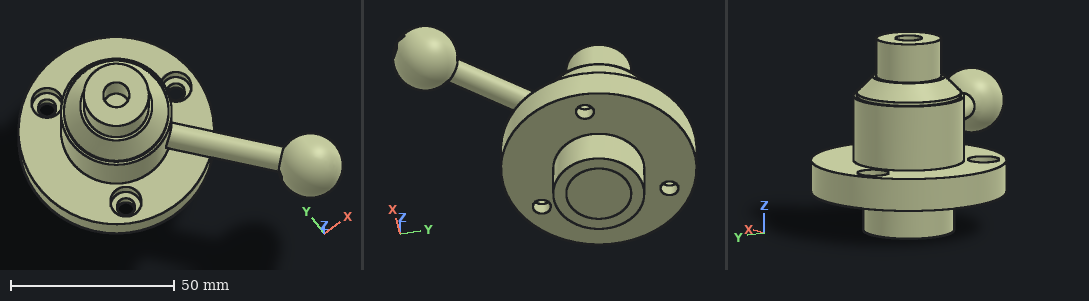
import cadquery as cq
import math

overall_depth = 86.7
overall_height = 60.0

spigot_radius = 14.0
spigot_height = 12.0
flange_radius = 30.0
flange_thickness = 10.0
core_radius = 16.0
core_chamfer = 5.0

screw_count = 3
screw_circle_radius = 23.0
screw_hole_diameter = 5.5
counterbore_diameter = 9.5
counterbore_depth = 5.4

sleeve_radius = 17.0
sleeve_height = 20.0
rod_radius = 4.0
rod_height = 7.0
ball_radius = 10.0
lever_angle = -50.0

shaft_radius = 10.0
shaft_bore_radius = 4.0
shaft_projection = 12.0
shaft_bore_depth = shaft_projection

flange_top = spigot_height + flange_thickness
rod_level = flange_top + rod_height
core_top = overall_height - shaft_projection
ball_reach = (overall_depth - flange_radius - ball_radius) / math.sin(math.radians(-lever_angle))


def cylinder(radius, bottom, top):
    """Upright cylinder on the main axis."""
    return cq.Workplane("XY").workplane(offset=bottom).circle(radius).extrude(top - bottom)


def make_housing():
    """Flanged housing with three counterbored holes and a bore for the shaft."""
    spigot = cylinder(spigot_radius, 0, spigot_height)
    flange = cylinder(flange_radius, spigot_height, flange_top)
    flange = (
        flange.faces(">Z")
        .workplane(origin=(0, 0, flange_top))
        .polarArray(screw_circle_radius, 0, 360, screw_count)
        .cboreHole(screw_hole_diameter, counterbore_diameter, counterbore_depth)
    )
    core = cylinder(core_radius, flange_top, core_top).faces(">Z").chamfer(core_chamfer)
    shaft_bore = cylinder(shaft_radius, 0, core_top)
    return spigot.union(flange).union(core).cut(shaft_bore)


def make_lever():
    """Sleeve that turns on the core, with its rod and ball in one piece."""
    sleeve = cylinder(sleeve_radius, flange_top, flange_top + sleeve_height)
    rod = cq.Workplane("YZ").center(0, rod_level).circle(rod_radius).extrude(ball_reach)
    ball = cq.Workplane("XY").sphere(ball_radius).translate((ball_reach, 0, rod_level))
    core_bore = cylinder(core_radius, flange_top, flange_top + sleeve_height)
    lever = sleeve.union(rod).union(ball).cut(core_bore)
    return lever.rotate((0, 0, 0), (0, 0, 1), lever_angle)


def make_shaft():
    """Plain shaft with a blind bore in its top end."""
    shaft = cylinder(shaft_radius, 0, overall_height)
    bore = cylinder(shaft_bore_radius, overall_height - shaft_bore_depth, overall_height)
    return shaft.cut(bore)


housing = make_housing()
lever = make_lever()
shaft = make_shaft()

result = cq.Compound.makeCompound([housing.val(), lever.val(), shaft.val()])